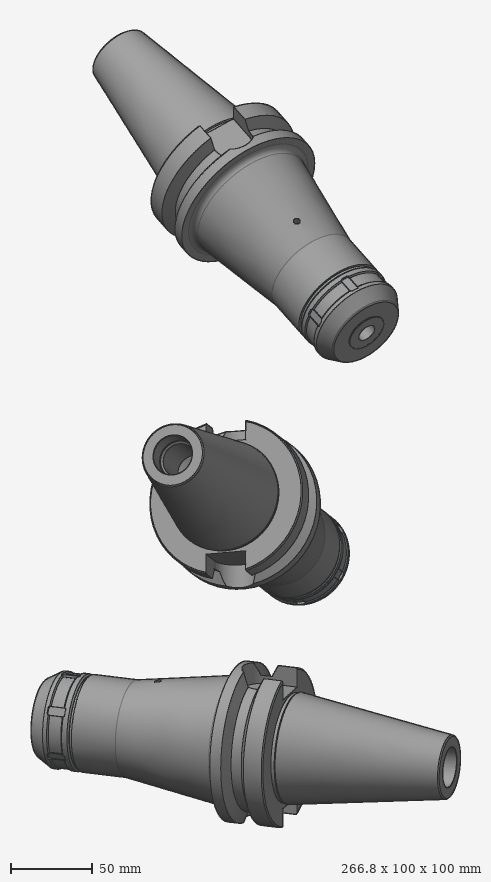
import cadquery as cq
import math

length = 266.8
flange_radius = 100.0 / 2
small_chamfer = 0.8

gauge_x = 102.0
gauge_radius = 35.0
taper_on_diameter = 7 / 24
shank_end_radius = gauge_radius - gauge_x * taper_on_diameter / 2
relief_radius = 68.8 / 2

flange_face_x = 104.9
front_rim_radius = 49.5
groove_start_x = 117.5
groove_floor_start_x = 121.5
groove_floor_end_x = 128.0
groove_end_x = 132.0
groove_radius = 42.5
flange_back_x = 139.3

body_fillet = 4.0
body_start_x = flange_back_x + body_fillet
body_start_radius = 40.8
nose_start_x = 208.5
nose_radius = 30.5
nose_end_x = 237.2

neck_radius = 58.0 / 2
nut_start_x = 239.0
nut_chamfer = 1.0
band_start_x = 243.5
band_end_x = 253.5
band_depth = 0.8
cone_start_x = 256.0
cone_end_x = 265.2
cone_end_radius = 25.0
nut_face_x = 266.0
collet_radius = 25.5 / 2

slot_count = 6
slot_length = 11.5
slot_width = 5.5
slot_corner = 1.3
slot_floor = 28.8

key_width = 25.5
key_end_x = 135.5
key_floor = 35.5

vent_x = 191.5
vent_diameter = 4.0
vent_floor = 28.0

bore_mouth_radius = 25.5 / 2
counterbore_radius = 25.0 / 2
counterbore_depth = 12.3
thread_mouth_radius = 24.0 / 2
thread_radius = 21.3 / 2
thread_end_x = 42.7
through_radius = 12.0 / 2
drill_half_angle = math.radians(59)


def make_body():
    """Solid of revolution holding the shank, flange, body and nut."""
    arc_drop = body_fillet * math.sqrt(0.5)
    fillet_top = body_start_radius + body_fillet
    profile = (
        cq.Workplane("XY")
        .lineTo(0, shank_end_radius - small_chamfer)
        .lineTo(small_chamfer, shank_end_radius)
        .lineTo(gauge_x, gauge_radius)
        .lineTo(gauge_x + small_chamfer, relief_radius)
        .lineTo(flange_face_x, relief_radius)
        .lineTo(flange_face_x, front_rim_radius - small_chamfer)
        .lineTo(flange_face_x + small_chamfer, front_rim_radius)
        .lineTo(groove_start_x, front_rim_radius)
        .lineTo(groove_floor_start_x, groove_radius)
        .lineTo(groove_floor_end_x, groove_radius)
        .lineTo(groove_end_x, flange_radius)
        .lineTo(flange_back_x, flange_radius)
        .lineTo(flange_back_x, fillet_top)
        .threePointArc(
            (body_start_x - arc_drop, fillet_top - arc_drop),
            (body_start_x, body_start_radius),
        )
        .lineTo(nose_start_x, nose_radius)
        .lineTo(nose_end_x, nose_radius)
        .lineTo(nose_end_x, neck_radius)
        .lineTo(nut_start_x, neck_radius)
        .lineTo(nut_start_x, nose_radius - nut_chamfer)
        .lineTo(nut_start_x + nut_chamfer, nose_radius)
        .lineTo(band_start_x, nose_radius)
        .lineTo(band_start_x + band_depth, nose_radius - band_depth)
        .lineTo(band_end_x - band_depth, nose_radius - band_depth)
        .lineTo(band_end_x, nose_radius)
        .lineTo(cone_start_x, nose_radius)
        .lineTo(cone_end_x, cone_end_radius)
        .lineTo(nut_face_x, cone_end_radius - small_chamfer)
        .lineTo(nut_face_x, collet_radius)
        .lineTo(length, collet_radius)
        .lineTo(length, 0)
        .close()
    )
    return profile.revolve(360, (0, 0, 0), (1, 0, 0))


def make_bore():
    """Stepped hole along the axis, open at both ends."""
    drill_tip_length = (thread_radius - through_radius) / math.tan(drill_half_angle)
    profile = (
        cq.Workplane("XY")
        .lineTo(0, bore_mouth_radius)
        .lineTo(bore_mouth_radius - counterbore_radius, counterbore_radius)
        .lineTo(counterbore_depth, counterbore_radius)
        .lineTo(counterbore_depth, thread_mouth_radius)
        .lineTo(counterbore_depth + thread_mouth_radius - thread_radius, thread_radius)
        .lineTo(thread_end_x, thread_radius)
        .lineTo(thread_end_x + drill_tip_length, through_radius)
        .lineTo(length, through_radius)
        .lineTo(length, 0)
        .close()
    )
    return profile.revolve(360, (0, 0, 0), (1, 0, 0))


def make_keyway():
    """Round-ended cutter for the upper keyway, open toward the shank."""
    key_radius = key_width / 2
    centre_x = key_end_x - key_radius
    return (
        cq.Workplane("XY", origin=(0, 0, key_floor))
        .moveTo(gauge_x, -key_radius)
        .lineTo(centre_x, -key_radius)
        .threePointArc((key_end_x, 0), (centre_x, key_radius))
        .lineTo(gauge_x, key_radius)
        .close()
        .extrude(flange_radius)
    )


def make_wrench_slot():
    """Flat-floored pocket with rounded corners on top of the nut."""
    slot_x = (band_start_x + band_end_x) / 2
    return (
        cq.Workplane("XY", origin=(slot_x, 0, slot_floor))
        .rect(slot_length, slot_width)
        .extrude(nose_radius)
        .edges("|Z")
        .fillet(slot_corner)
    )


def make_vent():
    """Blind radial hole in the tapered body."""
    return (
        cq.Workplane("XY", origin=(vent_x, 0, vent_floor))
        .circle(vent_diameter / 2)
        .extrude(flange_radius - vent_floor)
    )


def turned(shape, angle):
    """Copy of a shape turned about the X axis."""
    return shape.rotate((0, 0, 0), (1, 0, 0), angle)


result = make_body().cut(make_bore()).cut(make_vent())

for angle in (0, 180):
    result = result.cut(turned(make_keyway(), angle))

for index in range(slot_count):
    result = result.cut(turned(make_wrench_slot(), index * 360 / slot_count))